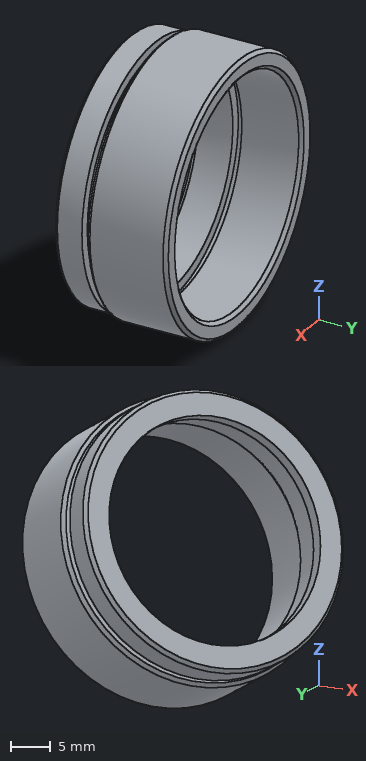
import cadquery as cq

outer_diameter = 38.1
lip_diameter = 37.0
groove_diameter = 34.2
bore_diameter = 30.0
middle_bore_diameter = 31.47
rear_bore_diameter = 32.8
inner_groove_diameter = 34.3
length = 16.5
lip_length = 4.05
groove_width = 0.95
chamfer = 0.5
front_bore_length = 1.9
inner_groove_start = 6.9
inner_groove_width = 0.9

outer_radius = outer_diameter / 2
lip_radius = lip_diameter / 2
groove_radius = groove_diameter / 2
bore_radius = bore_diameter / 2
middle_bore_radius = middle_bore_diameter / 2
rear_bore_radius = rear_bore_diameter / 2
inner_groove_radius = inner_groove_diameter / 2
rear_bore_start = inner_groove_start + inner_groove_width
body_start = lip_length + groove_width

ring_section = [
    (bore_radius, 0),
    (lip_radius - chamfer, 0),
    (lip_radius, chamfer),
    (lip_radius, lip_length),
    (groove_radius, lip_length),
    (groove_radius, body_start),
    (outer_radius - chamfer, body_start),
    (outer_radius, body_start + chamfer),
    (outer_radius, length - chamfer),
    (outer_radius - chamfer, length),
    (rear_bore_radius + chamfer, length),
    (rear_bore_radius, length - chamfer),
    (rear_bore_radius, rear_bore_start),
    (inner_groove_radius, rear_bore_start),
    (inner_groove_radius, inner_groove_start),
    (middle_bore_radius, inner_groove_start),
    (middle_bore_radius, front_bore_length),
    (bore_radius, front_bore_length),
]
result = (
    cq.Workplane("XY")
    .polyline(ring_section)
    .close()
    .revolve(360, (0, 0, 0), (0, 1, 0))
)